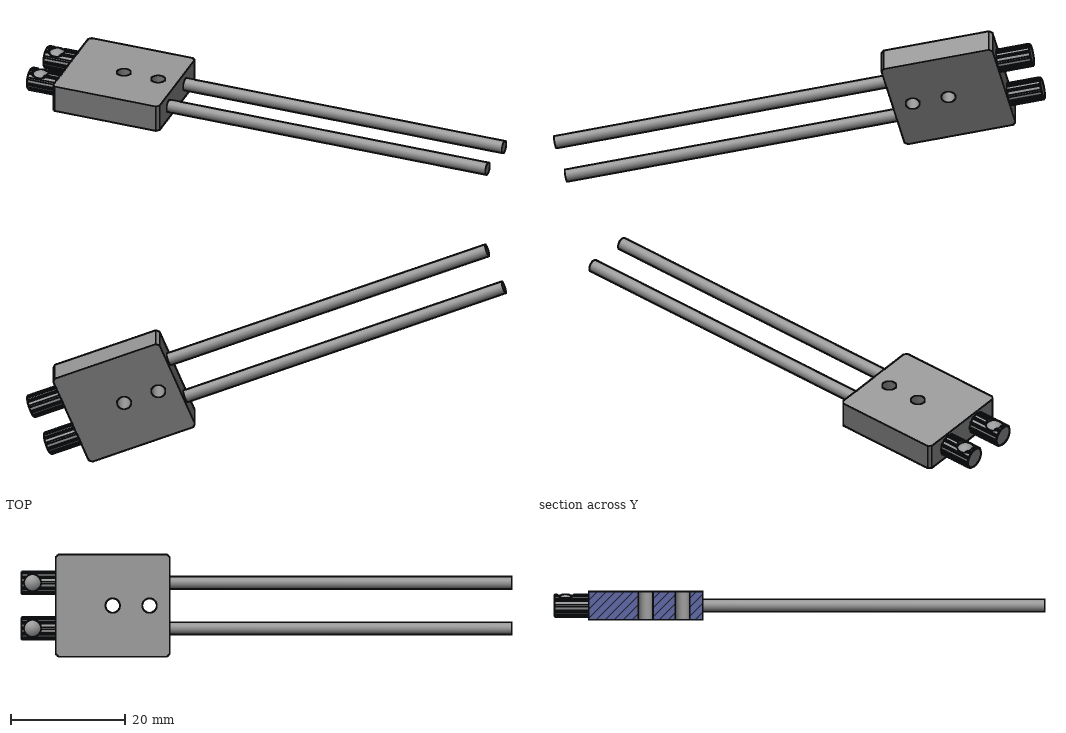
import cadquery as cq

TOTAL_LENGTH = 86.0
BLOCK_LENGTH = 20.0
BLOCK_WIDTH = 18.0
BLOCK_HEIGHT = 5.0
CORNER_CHAMFER = 0.5

LINE_SPACING = 8.0
CABLE_DIAMETER = 2.2
PLUG_LENGTH = 6.0
PLUG_DIAMETER = 4.0
PLUG_CORE_DIAMETER = 3.8
TIP_CHAMFER = 0.215
RIB_COUNT = 12
RIB_WIDTH = 0.35

BUTTON_DIAMETER = 3.0
BUTTON_X = 2.0
DOME_RADIUS = PLUG_DIAMETER / 2

HOLE_DIAMETER = 2.5
HOLE_SPACING = 6.45

EMBED_DEPTH = 1.0

BLOCK_END = PLUG_LENGTH + BLOCK_LENGTH
BLOCK_CENTER = PLUG_LENGTH + BLOCK_LENGTH / 2
PLUG_FULL_LENGTH = PLUG_LENGTH + EMBED_DEPTH


def make_rod(diameter, start, end):
    """Round rod along the X axis."""
    return cq.Workplane("YZ", origin=(start, 0, 0)).circle(diameter / 2).extrude(end - start)


def make_block():
    """Rectangular block with chamfered upright corners and two through holes."""
    block = cq.Workplane("XY").box(BLOCK_LENGTH, BLOCK_WIDTH, BLOCK_HEIGHT)
    block = block.edges("|Z").chamfer(CORNER_CHAMFER)
    hole_centers = [(0, 0), (HOLE_SPACING, 0)]
    block = block.faces(">Z").workplane().pushPoints(hole_centers).hole(HOLE_DIAMETER)
    return block.translate((BLOCK_CENTER, 0, 0))


def make_ribbed_plug():
    """Round core with straight ribs, the first on top, and a chamfered tip."""
    plug = make_rod(PLUG_CORE_DIAMETER, 0, PLUG_FULL_LENGTH)
    rib = cq.Workplane("XY").box(
        PLUG_FULL_LENGTH, RIB_WIDTH, PLUG_DIAMETER, centered=(False, True, False)
    )
    for index in range(RIB_COUNT):
        plug = plug.union(rib.rotate((0, 0, 0), (1, 0, 0), index * 360 / RIB_COUNT))
    envelope = make_rod(PLUG_DIAMETER, 0, PLUG_FULL_LENGTH).faces("<X").chamfer(TIP_CHAMFER)
    return plug.intersect(envelope)


def make_plug():
    """Ribbed plug with the domed button set into its top."""
    column = (
        cq.Workplane("XY", origin=(BUTTON_X, 0, 0))
        .circle(BUTTON_DIAMETER / 2)
        .extrude(PLUG_DIAMETER)
    )
    dome = cq.Workplane("XY", origin=(BUTTON_X, 0, 0)).sphere(DOME_RADIUS)
    button = column.intersect(dome)
    return make_ribbed_plug().cut(column).union(button)


plug = make_plug()
cable = make_rod(CABLE_DIAMETER, BLOCK_END - EMBED_DEPTH, TOTAL_LENGTH)

result = make_block()
for side in (-1, 1):
    offset = (0, side * LINE_SPACING / 2, 0)
    result = result.union(plug.translate(offset)).union(cable.translate(offset))